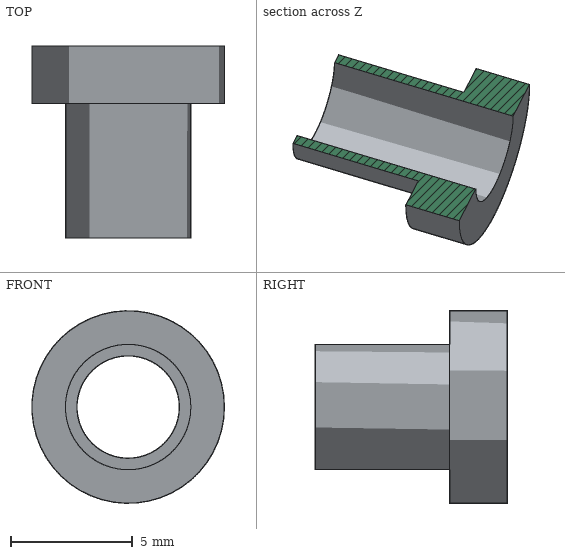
import cadquery as cq

flange_diameter = 7.92
flange_thickness = 2.37
sleeve_diameter = 5.155
bore_diameter = 4.2
total_length = 7.9

sleeve = cq.Workplane("XZ").circle(sleeve_diameter / 2).extrude(-total_length)

flange = (
    cq.Workplane("XZ", origin=(0, total_length, 0))
    .circle(flange_diameter / 2)
    .extrude(flange_thickness)
)

bore = cq.Workplane("XZ").circle(bore_diameter / 2).extrude(-total_length)

result = sleeve.union(flange).cut(bore)